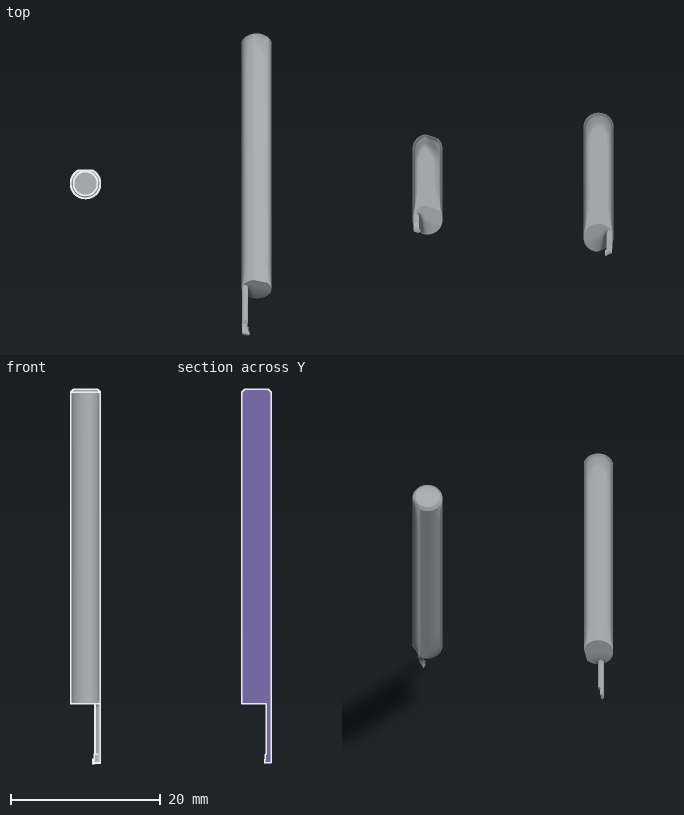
import cadquery as cq

TOTAL_LENGTH = 50.0

SHANK_DIAMETER = 4.0
SHANK_LENGTH = 42.0
SHANK_FLAT_Y = 1.75
SHANK_CHAMFER = 0.4

NECK_DIAMETER = 0.76
NECK_END_Z = 0.1

RAKE_FACE_Y = 0.0
RELIEF_INNER_Z = 1.8
RELIEF_OUTER_Z = 2.15

HEAD_HEIGHT = 1.3
HEAD_REACH_X = 1.15
TIP_HEIGHT = 0.6
TIP_REACH_X = 1.0
END_CLEARANCE = 0.15
SIDE_CLEARANCE = 0.15

shank_radius = SHANK_DIAMETER / 2
neck_radius = NECK_DIAMETER / 2
neck_x = shank_radius - neck_radius
head_thickness = neck_radius
shank_bottom_z = TOTAL_LENGTH - SHANK_LENGTH


def make_shank():
    """Round shank, chamfered at the top, with one full-length flat on +Y."""
    shank = (
        cq.Workplane("XY", origin=(0, 0, shank_bottom_z))
        .circle(shank_radius)
        .extrude(SHANK_LENGTH)
        .faces(">Z")
        .chamfer(SHANK_CHAMFER)
    )
    flat_cut = cq.Workplane("XY", origin=(0, SHANK_FLAT_Y, shank_bottom_z)).box(
        SHANK_DIAMETER, SHANK_DIAMETER, SHANK_LENGTH, centered=(True, False, False)
    )
    return shank.cut(flat_cut)


def make_neck():
    """Round neck whose lower end is cut back to the rake face."""
    neck = (
        cq.Workplane("XY", origin=(neck_x, 0, NECK_END_Z))
        .circle(neck_radius)
        .extrude(shank_bottom_z - NECK_END_Z)
    )
    relief = (
        cq.Workplane("YZ", origin=(neck_x, 0, 0))
        .moveTo(RAKE_FACE_Y, 0)
        .lineTo(RAKE_FACE_Y, RELIEF_INNER_Z)
        .lineTo(RAKE_FACE_Y + neck_radius, RELIEF_OUTER_Z)
        .lineTo(RAKE_FACE_Y + neck_radius, 0)
        .close()
        .extrude(neck_radius, both=True)
    )
    return neck.cut(relief)


def make_head():
    """Cutting head whose tip falls away behind the rake face, at its end and at its -X side."""
    back_y = RAKE_FACE_Y - head_thickness
    outline = [
        (neck_x, 0),
        (TIP_REACH_X, 0),
        (TIP_REACH_X, TIP_HEIGHT),
        (HEAD_REACH_X, TIP_HEIGHT),
        (HEAD_REACH_X, HEAD_HEIGHT),
        (neck_x, HEAD_HEIGHT),
    ]
    head = (
        cq.Workplane("XZ", origin=(0, RAKE_FACE_Y, 0))
        .polyline(outline)
        .close()
        .extrude(head_thickness)
    )
    end_step = cq.Workplane("XY", origin=(HEAD_REACH_X, back_y, 0)).box(
        neck_x - HEAD_REACH_X, head_thickness, NECK_END_Z, centered=False
    )
    end_clearance = (
        cq.Workplane("YZ", origin=(TIP_REACH_X, 0, 0))
        .moveTo(RAKE_FACE_Y, 0)
        .lineTo(back_y, 0)
        .lineTo(back_y, END_CLEARANCE)
        .close()
        .extrude(neck_x - TIP_REACH_X)
    )
    side_clearance = (
        cq.Workplane("XY")
        .moveTo(TIP_REACH_X, RAKE_FACE_Y)
        .lineTo(TIP_REACH_X, back_y)
        .lineTo(TIP_REACH_X + SIDE_CLEARANCE, back_y)
        .close()
        .extrude(TIP_HEIGHT)
    )
    return head.cut(end_step).cut(end_clearance).cut(side_clearance)


result = make_shank().union(make_neck()).union(make_head())